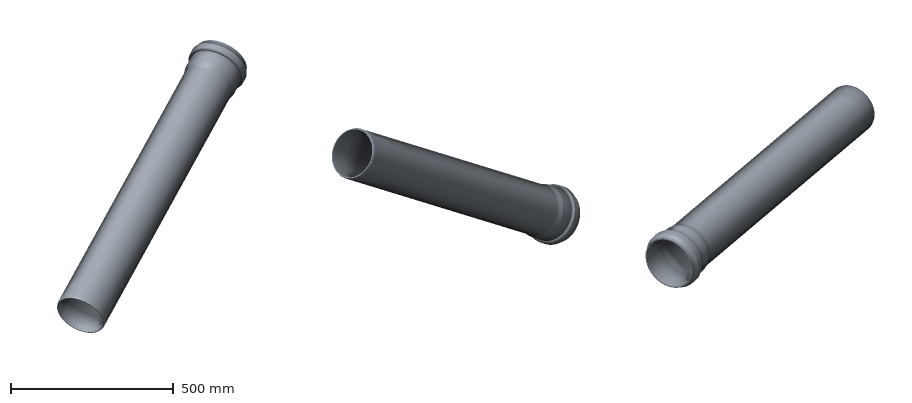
import cadquery as cq

length = 1089.0
pipe_diameter = 160.0
bore_diameter = 150.0
mouth_diameter = 169.0
socket_diameter = 170.0
socket_bore_diameter = 161.0
bead_diameter = 186.0

chamfer_length = 7.0
chamfer_depth = 2.0

lip_length = 11.0
bead_start = 17.0
bead_end = 45.0
socket_end = 90.0
taper_end = 110.0

bead_chamfer = 3.8

pipe_radius = pipe_diameter / 2
bore_radius = bore_diameter / 2
mouth_radius = mouth_diameter / 2
socket_radius = socket_diameter / 2
socket_bore_radius = socket_bore_diameter / 2
bead_radius = bead_diameter / 2
bead_shoulder_radius = bead_radius - bead_chamfer
bead_back_y = length - bead_end
bead_front_y = length - bead_start


def revolve_about_axis(profile):
    """Turn a closed (radius, Y) profile into a solid of revolution about Y."""
    return profile.close().revolve(360, (0, 0, 0), (0, 1, 0))


def pipe_body():
    """Outer form: chamfered spigot, tapered socket and chamfered bead."""
    profile = (
        cq.Workplane("XY")
        .lineTo(pipe_radius - chamfer_depth, 0)
        .lineTo(pipe_radius, chamfer_length)
        .lineTo(pipe_radius, length - taper_end)
        .lineTo(socket_radius, length - socket_end)
        .lineTo(socket_radius, bead_back_y)
        .lineTo(bead_shoulder_radius, bead_back_y)
        .lineTo(bead_radius, bead_back_y + bead_chamfer)
        .lineTo(bead_radius, bead_front_y - bead_chamfer)
        .lineTo(bead_shoulder_radius, bead_front_y)
        .lineTo(mouth_radius, length - lip_length)
        .lineTo(mouth_radius, length)
        .lineTo(0, length)
    )
    return revolve_about_axis(profile)


def stepped_bore():
    """Through bore that widens along the taper into the socket bore."""
    profile = (
        cq.Workplane("XY")
        .lineTo(bore_radius, 0)
        .lineTo(bore_radius, length - taper_end)
        .lineTo(socket_bore_radius, length - socket_end)
        .lineTo(socket_bore_radius, length)
        .lineTo(0, length)
    )
    return revolve_about_axis(profile)


result = pipe_body().cut(stepped_bore())